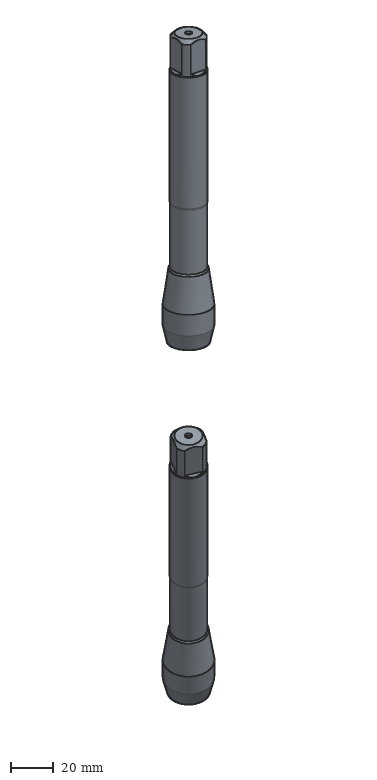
import cadquery as cq

total_length = 160.0

head_diameter = 24.3
lead_tip_diameter = 20.5
lead_length = 8.5
head_length = 19.4

taper_top_diameter = 19.0
taper_top_z = 37.8
neck_diameter = 17.8
neck_bottom_z = 38.7
neck_top_z = 72.3
shank_diameter = 18.0
shank_bottom_z = 73.0
shank_top_z = 141.0
drive_diameter = 17.3
shank_end_chamfer = (shank_diameter - drive_diameter) / 2
drive_bottom_z = shank_top_z + shank_end_chamfer
drive_square = 14.9
drive_chamfer = 2.0
flat_runout_height = (drive_diameter - drive_square) / 2
flat_bottom_z = drive_bottom_z + flat_runout_height

centre_diameter = 2.0
centre_depth = 3.2
countersink_diameter = 3.4
countersink_depth = (countersink_diameter - centre_diameter) / 2


def revolve_profile(outline):
    """Turn a (radius, height) outline, closed along the Z axis."""
    return cq.Workplane("XZ").polyline(outline).close().revolve(360, (0, 0), (0, 1))


def make_cutting_head():
    return revolve_profile([
        (0, 0),
        (lead_tip_diameter / 2, 0),
        (head_diameter / 2, lead_length),
        (head_diameter / 2, head_length),
        (0, head_length),
    ])


def make_turned_holder():
    return revolve_profile([
        (0, head_length),
        (head_diameter / 2, head_length),
        (taper_top_diameter / 2, taper_top_z),
        (neck_diameter / 2, neck_bottom_z),
        (neck_diameter / 2, neck_top_z),
        (shank_diameter / 2, shank_bottom_z),
        (shank_diameter / 2, shank_top_z),
        (drive_diameter / 2, drive_bottom_z),
        (drive_diameter / 2, total_length - drive_chamfer),
        (drive_diameter / 2 - drive_chamfer, total_length),
        (0, total_length),
    ])


def make_flat_cutter():
    """Material beyond one drive flat, with a 45 degree run-out at its lower end."""
    flat_offset = drive_square / 2
    outer_offset = drive_diameter / 2
    return (
        cq.Workplane("XZ")
        .polyline([
            (flat_offset, flat_bottom_z),
            (outer_offset, drive_bottom_z),
            (outer_offset, total_length),
            (flat_offset, total_length),
        ])
        .close()
        .extrude(drive_diameter / 2, both=True)
    )


def make_centre_hole():
    return revolve_profile([
        (0, total_length),
        (countersink_diameter / 2, total_length),
        (centre_diameter / 2, total_length - countersink_depth),
        (centre_diameter / 2, total_length - centre_depth),
        (0, total_length - centre_depth),
    ])


def make_holder():
    holder = make_turned_holder()
    flat_cutter = make_flat_cutter()
    flat_count = 4
    for index in range(flat_count):
        angle = index * 360 / flat_count
        holder = holder.cut(flat_cutter.rotate((0, 0, 0), (0, 0, 1), angle))
    return holder.cut(make_centre_hole())


cutting_head = make_cutting_head()
holder = make_holder()

result = cq.Compound.makeCompound([cutting_head.val(), holder.val()])